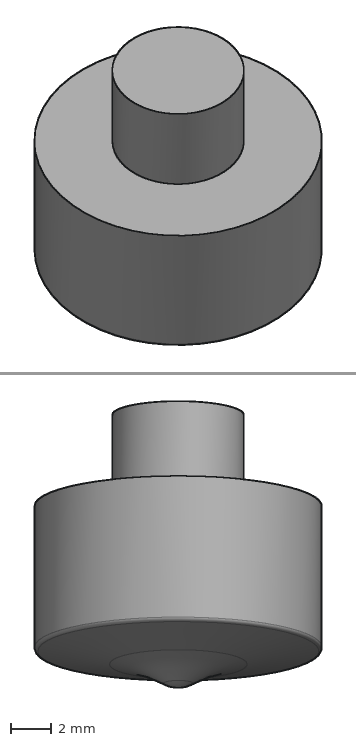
import cadquery as cq
import math

body_diameter = 14.2
stem_diameter = 6.5
total_height = 13.76
stem_height = 4.62
cone_angle = math.radians(10.5)
tip_angle = math.radians(30)
tip_radius = 1.49
edge_radius = 0.2
blend_outer_radius = 3.4

body_radius = body_diameter / 2
stem_radius = stem_diameter / 2
shoulder_z = total_height - stem_height


def arc_point(center, radius, angle):
    """Point below an arc centre, at an angle from straight down towards +X."""
    return (center[0] + radius * math.sin(angle), center[1] - radius * math.cos(angle))


tip_center = (0, tip_radius)
tip_middle = arc_point(tip_center, tip_radius, tip_angle / 2)
tip_end = arc_point(tip_center, tip_radius, tip_angle)

blend_width = blend_outer_radius - tip_end[0]
blend_end = (
    blend_outer_radius,
    tip_end[1] + blend_width * math.tan((tip_angle + cone_angle) / 2),
)

rim_start_x = body_radius - edge_radius * (1 - math.sin(cone_angle))
rim_start = (
    rim_start_x,
    blend_end[1] + (rim_start_x - blend_outer_radius) * math.tan(cone_angle),
)
rim_center = (body_radius - edge_radius, rim_start[1] + edge_radius * math.cos(cone_angle))
rim_middle = arc_point(rim_center, edge_radius, (cone_angle + math.pi / 2) / 2)
rim_end = (body_radius, rim_center[1])

profile = (
    cq.Workplane("XZ")
    .moveTo(0, 0)
    .threePointArc(tip_middle, tip_end)
    .tangentArcPoint(blend_end, relative=False)
    .lineTo(*rim_start)
    .threePointArc(rim_middle, rim_end)
    .lineTo(body_radius, shoulder_z)
    .lineTo(stem_radius, shoulder_z)
    .lineTo(stem_radius, total_height)
    .lineTo(0, total_height)
    .close()
)

result = profile.revolve(360, (0, 0, 0), (0, 1, 0))